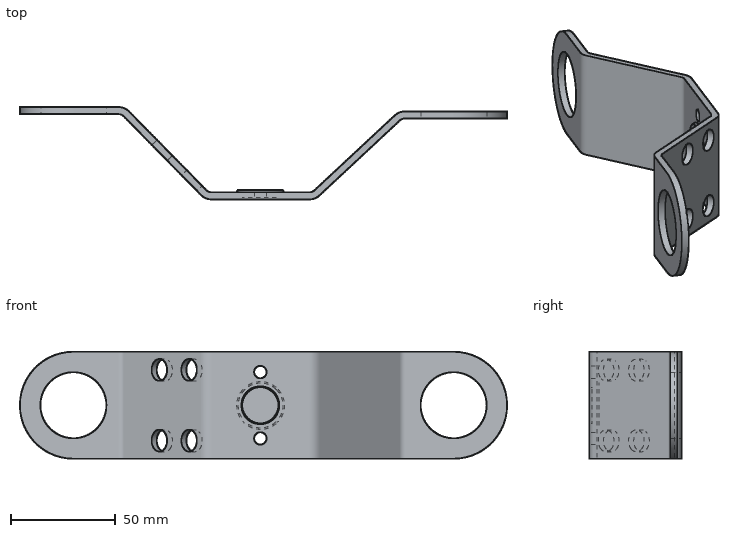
import cadquery as cq
import math

length = 232.3
width = 51.0
depth = 44.1
thickness = 3.5
bend_inner_radius = 3.5
bend_outer_radius = bend_inner_radius + thickness

web_mid_y = thickness / 2
left_mid_y = depth - thickness / 2
right_flange_step = 2.0
right_mid_y = left_mid_y - right_flange_step
left_flange_bend_x = 49.2
left_web_bend_x = 89.2
right_web_bend_x = 140.0
right_flange_bend_x = 181.5

left_angle = math.atan2(left_mid_y - web_mid_y, left_web_bend_x - left_flange_bend_x)
right_angle = math.atan2(right_mid_y - web_mid_y, right_flange_bend_x - right_web_bend_x)

end_radius = width / 2
flange_hole_diameter = 31.4
web_center_x = (left_web_bend_x + right_web_bend_x) / 2
web_hole_diameter = 5.8
web_hole_spacing = 31.5
dimple_diameter = 18.1
dimple_floor_diameter = 17.2
dimple_depth = 1.2
boss_base_diameter = 22.8
boss_top_diameter = 21.4
arm_hole_diameter = 10.5
arm_hole_spacing_z = 33.7
arm_hole_distances = (11.2, 31.4)


def face_points(offset):
    """Points of a sheet face lying at the given distance behind mid-thickness."""
    left_shift = offset * math.tan(left_angle / 2)
    right_shift = offset * math.tan(right_angle / 2)
    return [
        (0, left_mid_y + offset),
        (left_flange_bend_x + left_shift, left_mid_y + offset),
        (left_web_bend_x + left_shift, web_mid_y + offset),
        (right_web_bend_x - right_shift, web_mid_y + offset),
        (right_flange_bend_x - right_shift, right_mid_y + offset),
        (length, right_mid_y + offset),
    ]


front_points = face_points(-thickness / 2)
back_points = face_points(thickness / 2)


def round_bends(body, points, radii):
    """Round the vertical edge at each of the four bend corners of a face."""
    for (x, y), radius in zip(points[1:-1], radii):
        body = body.edges("|Z").edges(cq.selectors.NearestToPointSelector((x, y, 0))).fillet(radius)
    return body


def bent_strip():
    outline = front_points + back_points[::-1]
    strip = cq.Workplane("XY").polyline(outline).close().extrude(width / 2, both=True)
    inner, outer = bend_inner_radius, bend_outer_radius
    strip = round_bends(strip, front_points, (inner, outer, outer, inner))
    strip = round_bends(strip, back_points, (outer, inner, inner, outer))
    rounded_ends = cq.Workplane("XZ").center(length / 2, 0).slot2D(length, width).extrude(-depth)
    return strip.intersect(rounded_ends)


def holes_along_y(centers, diameter):
    return cq.Workplane("XZ").pushPoints(centers).circle(diameter / 2).extrude(-depth)


def arm_holes():
    """Two rows of holes square to the left sloping arm, measured up from the web bend."""
    corner_x, corner_y = front_points[2]
    arm_plane = cq.Plane(
        origin=(corner_x, corner_y, 0),
        xDir=(-math.cos(left_angle), math.sin(left_angle), 0),
        normal=(math.sin(left_angle), math.cos(left_angle), 0),
    )
    half_spacing = arm_hole_spacing_z / 2
    centers = [(along, z) for along in arm_hole_distances for z in (-half_spacing, half_spacing)]
    return cq.Workplane(arm_plane).pushPoints(centers).circle(arm_hole_diameter / 2).extrude(
        thickness, both=True
    )


def cone_along_y(start_y, start_diameter, end_diameter):
    """Shallow tapered disc at the web centre, as tall as the dimple is deep."""
    cone = cq.Solid.makeCone(
        start_diameter / 2,
        end_diameter / 2,
        dimple_depth,
        pnt=cq.Vector(web_center_x, start_y, 0),
        dir=cq.Vector(0, 1, 0),
    )
    return cq.Workplane(obj=cone)


flange_centers = [(end_radius, 0), (length - end_radius, 0)]
web_hole_centers = [(web_center_x, side * web_hole_spacing / 2) for side in (-1, 1)]

result = (
    bent_strip()
    .union(cone_along_y(thickness, boss_base_diameter, boss_top_diameter))
    .cut(cone_along_y(0, dimple_diameter, dimple_floor_diameter))
    .cut(holes_along_y(flange_centers, flange_hole_diameter))
    .cut(holes_along_y(web_hole_centers, web_hole_diameter))
    .cut(arm_holes())
)